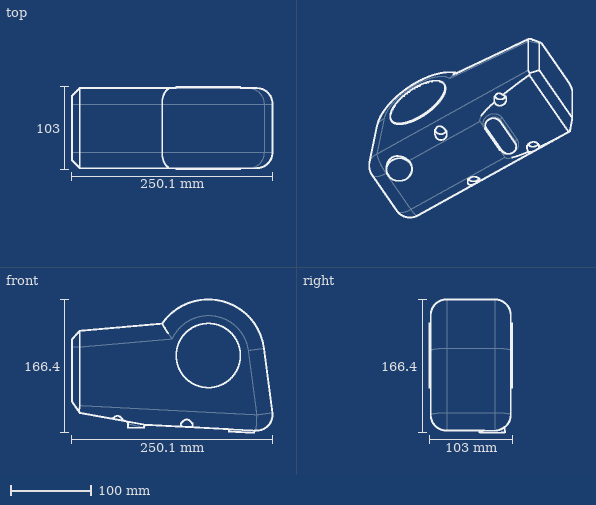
import cadquery as cq
import math


body_width = 100.0
head_radius = 70.0
nose_x = -170.0
nose_top_z = 30.0
top_slope = math.radians(5.0)
back_slope = math.radians(7.5)
bottom_slope = math.radians(3.0)
bottom_nose_z = -81.6
edge_radius = 20.0

nose_chamfer = 10.0
nose_bottom_chamfer_height = 14.4
ramp_start_z = -71.6
ramp_slope = math.radians(10.2)

cover_radius = 40.0
cover_thickness = 1.5

hole_radius = 7.5
hole_y = 39.5
hole_depth = 15.0
ramp_hole_x = -113.0
bottom_hole_x = -26.7

boss_x = -90.0
boss_radius = 10.0
boss_length = 56.0
boss_bottom_z = -90.1
boss_fillet = 3.0

foot_radius = 16.0
foot_height = 2.9
foot_x = 41.6
foot_y = 26.7

envelope_drop = 40.0
root_depth = 10.0
tolerance = 0.01

ramp_start_x = nose_x + nose_chamfer


def bottom_z(x):
    """Height of the flat underside at x."""
    return bottom_nose_z - (x - nose_x) * math.tan(bottom_slope)


def ramp_z(x):
    """Height of the steeper front part of the underside at x."""
    return ramp_start_z - (x - ramp_start_x) * math.tan(ramp_slope)


def head_meets_top():
    """Point where the sloping top runs into the round head."""
    slope = math.tan(top_slope)
    top_at_axis = nose_top_z - nose_x * slope
    a = 1 + slope**2
    half_b = slope * top_at_axis
    c = top_at_axis**2 - head_radius**2
    x = (-half_b - math.sqrt(half_b**2 - a * c)) / a
    return x, top_at_axis + slope * x


def back_bottom_corner(drop):
    """Point where the back, tangent to the head, meets the underside lowered by drop."""
    underside_at_axis = bottom_z(0) - drop
    x = (head_radius - underside_at_axis * math.sin(back_slope)) / (
        math.cos(back_slope) - math.tan(bottom_slope) * math.sin(back_slope)
    )
    return x, bottom_z(x) - drop


def rounded_body(drop):
    """Body with rounded side edges, its underside lowered by drop."""
    head_end = (head_radius * math.cos(back_slope), head_radius * math.sin(back_slope))
    body = (
        cq.Workplane("XZ")
        .moveTo(nose_x, bottom_nose_z - drop)
        .lineTo(nose_x, nose_top_z)
        .lineTo(*head_meets_top())
        .threePointArc((0, head_radius), head_end)
        .lineTo(*back_bottom_corner(drop))
        .close()
        .extrude(body_width / 2, both=True)
    )
    body = body.edges("|Y").edges(">X").fillet(edge_radius)
    side_edges = [
        edge
        for edge in body.faces("<Y or >Y").edges().vals()
        if edge.Center().x > nose_x + nose_chamfer
    ]
    return body.newObject(side_edges).fillet(edge_radius)


def make_body():
    """Rounded body whose nose chamfer stays straight all the way down the sides."""
    envelope = rounded_body(envelope_drop).faces("<X").chamfer(nose_chamfer)
    return rounded_body(0).intersect(envelope)


def cut_underside(body):
    """Trim the lower nose to its bevel and the ramp behind it."""
    slope_difference = math.tan(ramp_slope) - math.tan(bottom_slope)
    ramp_length = (ramp_start_z - bottom_z(ramp_start_x)) / slope_difference
    ramp_end_x = ramp_start_x + ramp_length
    below_z = bottom_z(ramp_end_x) - root_depth
    bevel_top_z = ramp_start_z + nose_bottom_chamfer_height
    waste = (
        cq.Workplane("XZ")
        .moveTo(nose_x, bevel_top_z)
        .lineTo(ramp_start_x, ramp_start_z)
        .lineTo(ramp_end_x, ramp_z(ramp_end_x))
        .lineTo(ramp_end_x, below_z)
        .lineTo(nose_x, below_z)
        .close()
        .extrude(body_width, both=True)
    )
    return body.cut(waste)


def is_boss_root(point):
    """True for a point on the ramp within the boss outline."""
    on_ramp = abs(point.z - ramp_z(point.x)) < tolerance
    beside_x = abs(point.x - boss_x) < boss_radius + tolerance
    beside_y = abs(point.y) < boss_length / 2 + tolerance
    return on_ramp and beside_x and beside_y


def add_boss(body):
    boss = (
        cq.Workplane("XY", origin=(boss_x, 0, boss_bottom_z))
        .slot2D(boss_length, 2 * boss_radius, 90)
        .extrude(ramp_z(boss_x) - boss_bottom_z + root_depth)
    )
    joined = body.union(boss)
    root_edges = [edge for edge in joined.edges().vals() if is_boss_root(edge.Center())]
    return joined.newObject(root_edges).fillet(boss_fillet)


def cut_holes(body):
    hole_starts = (
        (ramp_hole_x, ramp_z(ramp_hole_x)),
        (bottom_hole_x, bottom_z(bottom_hole_x)),
    )
    for x, surface_z in hole_starts:
        drill = (
            cq.Workplane("XY", origin=(x, 0, surface_z - root_depth))
            .pushPoints([(0, -hole_y), (0, hole_y)])
            .circle(hole_radius)
            .extrude(root_depth + hole_depth)
        )
        body = body.cut(drill)
    return body


def add_foot(body):
    foot = (
        cq.Workplane("XY")
        .circle(foot_radius)
        .extrude(foot_height + root_depth)
        .translate((0, 0, -foot_height))
        .rotate((0, 0, 0), (0, 1, 0), math.degrees(bottom_slope))
        .translate((foot_x, foot_y, bottom_z(foot_x)))
    )
    return body.union(foot)


def add_covers(body):
    covers = cq.Workplane("XZ").circle(cover_radius).extrude(body_width / 2 + cover_thickness, both=True)
    return body.union(covers)


body = make_body()
body = cut_underside(body)
body = add_boss(body)
body = cut_holes(body)
body = add_foot(body)
result = add_covers(body)